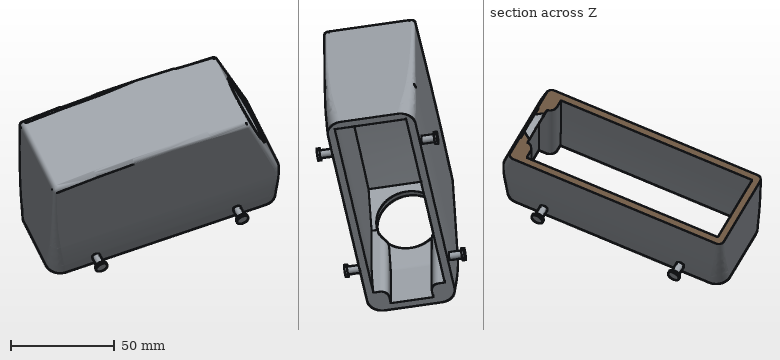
import math
import cadquery as cq

length = 120.0
half_length = length / 2
half_width = 22.5
wall = 4.0
slope_wall = 4.6

side_bend_top = 23.1
side_bend_bottom = 6.5
side_bend_inset = 0.5

slope_angle = math.radians(20.0)
slope_start = 28.2
slope_bend_radius = 11.0
front_draft = math.radians(0.75)

crown_radius = 520.0
crown_center_y = -7.2
crown_apex = 76.05
crown_center_z = crown_apex - crown_radius

corner_radius_bottom = 7.5
corner_radius_front = 4.2
corner_radius_rear = 3.2
corner_radius_top = 1.4
roof_radius = 2.8
roof_slope_radius = 1.8

entry_diameter = 32.0
entry_face_diameter = 36.0
entry_face_depth = 0.5
entry_y = 51.2
entry_bore_depth = 12.0

pin_y = 37.0
pin_z = 6.0
pin_tip_x = 29.5
pin_diameter = 4.0
pin_head_diameter = 6.0
pin_head_thickness = 1.3

block_inner_x = 10.5
block_front_y = 48.0
block_radius = 4.0

tolerance = 1e-3
roof_end_steps = 20


def crown_z(y, radius):
    """Height of a roof arc of the given radius at station y."""
    return crown_center_z + math.sqrt(radius**2 - (y - crown_center_y) ** 2)


def slope_y(z, inset):
    """Y of the slope plane at height z, moved inwards by inset."""
    return half_length - (z - slope_start) * math.tan(slope_angle) - inset / math.cos(slope_angle)


def front_y(z, inset):
    """Y of the drafted front plane at height z, moved inwards by inset."""
    return -half_length + z * math.tan(front_draft) + inset / math.cos(front_draft)


def roof_end(plane_y, inset):
    """Point where an end plane meets the roof arc."""
    radius = crown_radius - inset
    z = crown_apex
    for _ in range(roof_end_steps):
        z = crown_z(plane_y(z), radius)
    return plane_y(z), z


def side_profile(inset, rear_inset):
    """Closed YZ outline of the hood, moved inwards by the given wall thicknesses."""
    rear_y = half_length - inset
    bend_z = slope_start + (inset - rear_inset / math.cos(slope_angle)) / math.tan(slope_angle)
    bend_radius = slope_bend_radius - inset
    bend_tangent = bend_radius * math.tan(slope_angle / 2)
    bend_end_z = bend_z + bend_tangent * math.cos(slope_angle)
    rear_top = roof_end(lambda z: slope_y(z, rear_inset), inset)
    front_top = roof_end(lambda z: front_y(z, inset), inset)
    return (
        cq.Workplane("YZ")
        .moveTo(front_y(0, inset), 0)
        .lineTo(rear_y, 0)
        .lineTo(rear_y, bend_z - bend_tangent)
        .tangentArcPoint((slope_y(bend_end_z, rear_inset), bend_end_z), relative=False)
        .lineTo(*rear_top)
        .threePointArc((crown_center_y, crown_apex - inset), front_top)
        .close()
    )


def width_profile(inset):
    """Closed XZ outline: vertical walls, a tangent arc, then a tangent line to the bottom."""
    drop = side_bend_top - side_bend_bottom
    bend_radius = (drop**2 + side_bend_inset**2) / (2 * side_bend_inset)
    bend_angle = math.asin(drop / bend_radius)
    upper_x = half_width - inset
    lower_x = upper_x - side_bend_inset
    bottom_x = lower_x - side_bend_bottom * math.tan(bend_angle)
    mid_x = upper_x - bend_radius * (1 - math.cos(bend_angle / 2))
    mid_z = side_bend_top - bend_radius * math.sin(bend_angle / 2)
    return (
        cq.Workplane("XZ")
        .moveTo(-bottom_x, 0)
        .lineTo(bottom_x, 0)
        .lineTo(lower_x, side_bend_bottom)
        .threePointArc((mid_x, mid_z), (upper_x, side_bend_top))
        .lineTo(upper_x, crown_apex)
        .lineTo(-upper_x, crown_apex)
        .lineTo(-upper_x, side_bend_top)
        .threePointArc((-mid_x, mid_z), (-lower_x, side_bend_bottom))
        .close()
    )


def hood_solid(inset, rear_inset):
    """Sharp-edged hood volume, moved inwards by the given wall thicknesses."""
    along_x = side_profile(inset, rear_inset).extrude(half_width, both=True)
    along_y = width_profile(inset).extrude(half_length, both=True)
    return along_x.intersect(along_y)


def corner_radius(z, middle_radius):
    """Corner radius at height z, tapering through middle_radius where the side walls bend."""
    if z <= side_bend_top:
        t = z / side_bend_top
        return corner_radius_bottom + t * (middle_radius - corner_radius_bottom)
    t = (z - side_bend_top) / (crown_apex - side_bend_top)
    return middle_radius + t * (corner_radius_top - middle_radius)


def round_edges(body):
    """Tapered rounds on the four corner edges and constant rounds around the roof."""
    solid = body.val()
    fillets = cq.occ_impl.shapes.BRepFilletAPI_MakeFillet(solid.wrapped)

    rising_edges = [edge for edge in solid.Edges() if edge.BoundingBox().zlen > tolerance]
    for edge in rising_edges:
        if edge.BoundingBox().zmin > tolerance:
            continue
        fillets.Add(edge.wrapped)
        contour = fillets.NbContours()
        middle_radius = corner_radius_rear if edge.Center().y > 0 else corner_radius_front
        for i in range(1, fillets.NbEdges(contour) + 1):
            for vertex in cq.Edge(fillets.Edge(contour, i)).Vertices():
                fillets.SetRadius(corner_radius(vertex.Z, middle_radius), contour, vertex.wrapped)

    for edge in body.faces(">Z").edges().vals():
        is_slope_edge = edge.geomType() == "LINE" and edge.Center().y > 0
        fillets.Add(roof_slope_radius if is_slope_edge else roof_radius, edge.wrapped)
    return cq.Workplane(cq.Shape.cast(fillets.Shape()).Solids()[0])


def corner_blocks():
    """Two full-height blocks filling the rear cavity corners, each with a rounded vertical inner edge."""
    width = half_width - wall / 2 - block_inner_x
    depth = half_length - wall / 2 - block_front_y
    block = (
        cq.Workplane("XY")
        .box(width, depth, crown_apex, centered=False)
        .edges("|Z and <X and <Y")
        .fillet(block_radius)
        .translate((block_inner_x, block_front_y, 0))
    )
    return block.union(block.mirror("YZ"))


def cable_entry():
    """Cutter for the cable entry bore and its shallow round facing on the slope."""
    entry_z = slope_start + (half_length - entry_y) / math.tan(slope_angle)
    outward = (0, math.cos(slope_angle), math.sin(slope_angle))
    plane = cq.Plane(origin=(0, entry_y, entry_z), xDir=(1, 0, 0), normal=outward)
    bore = cq.Workplane(plane).circle(entry_diameter / 2).extrude(-entry_bore_depth)
    facing = cq.Workplane(plane).circle(entry_face_diameter / 2).extrude(-entry_face_depth)
    return bore.union(facing)


def locking_pin(side, y):
    """Headed pin on one side wall; side is +1 or -1 along X."""
    root_x = half_width - wall / 2
    base = cq.Plane(origin=(side * root_x, y, pin_z), xDir=(0, 1, 0), normal=(side, 0, 0))
    tip = cq.Plane(origin=(side * pin_tip_x, y, pin_z), xDir=(0, 1, 0), normal=(side, 0, 0))
    shank = cq.Workplane(base).circle(pin_diameter / 2).extrude(pin_tip_x - root_x)
    head = cq.Workplane(tip).circle(pin_head_diameter / 2).extrude(-pin_head_thickness)
    return shank.union(head)


hood = round_edges(hood_solid(0, 0))
cavity = hood_solid(wall, slope_wall).cut(corner_blocks())
hood = hood.cut(cavity).cut(cable_entry())
for side in (-1, 1):
    for y in (-pin_y, pin_y):
        hood = hood.union(locking_pin(side, y))

result = cq.Workplane(hood.solids().val())